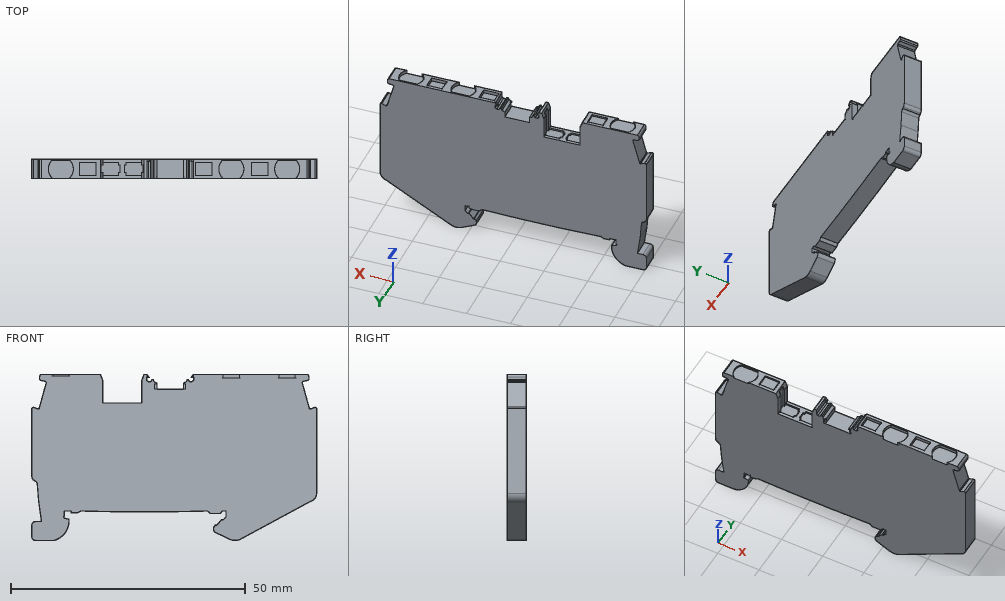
import cadquery as cq


length = 60.7
thickness = 4.15
height = 35.4
underside_z = 6.25

half_length = length / 2
front_y = -thickness / 2
back_y = thickness / 2
clearance = 1.0

lip_x = 28.7
lip_round = 0.6
lip_round_reach = 0.4
lip_round_mid = (28.6, 35.15)
lip_bottom_z = 34.25
lip_underside = ((28.35, 34.05), (27.5, 33.9))
step_neck_x = 27.25
step_neck_z = 33.7
shoulder_z = 28.1
shoulder_root_x = 28.8
shoulder_notch_x = 29.0
shoulder_notch_z = 28.0
shoulder_crown_x = 29.95
shoulder_crown_z = 28.4
shoulder_round_mid = (30.2, 28.3)

well_left_x = -15.2
well_right_x = -6.95
well_floor_z = 29.3
well_flare = 0.5
well_flare_z = 34.1

channel_x = -0.87
channel_floor_z = 32.25
channel_half_width = 2.79
channel_mouth_half_width = 4.98
channel_wall_top_z = 33.5
ridge_top_z = 34.25
groove_bottom_z = 33.85
groove_side_z = 34.1
ridge_foot = 3.43
ridge_inner = 3.6
ridge_outer = 3.9
groove_inner = 4.15
groove_outer = 4.62

undercut_half_width = 3.3
undercut_top_z = 33.35
undercut_depth = 0.4
nib_reach = 0.55
nib_bottom_z = 34.75
nib_width = 0.45

pocket_depth = 0.75
shallow_depth = 0.37
test_holes = ((-18.4, shallow_depth), (6.3, pocket_depth), (18.2, pocket_depth))
test_hole_length = 3.48
test_hole_width = 2.75

wire_entries = ((-24.15, shallow_depth), (12.15, pocket_depth), (24.05, pocket_depth))
wire_entry_radius = 2.67
wire_entry_y = -0.03
wire_entry_flat_y = 1.74

slot_xs = (-13.55, -8.64)
slot_length = 3.3
slot_width = 2.75
key_length = 4.0
key_width = 1.6

side_bottom_z = 13.75
side_round_mid = (-30.2, 13.15)
side_round_end = (-29.95, 12.85)
ledge_x = -29.7
ledge_z = 12.65
stem_round_mid = (-29.35, 12.45)
stem_top_x = -29.2
stem_top_z = 12.1
stem_bend_x = -28.9
stem_bend_z = 8.35
stem_root_x = -28.3
foot_top_z = 4.05
foot_corner_radius = 0.8
sole_end_x = -25.6
foot_round_mid = (-23.4, 1.4)
foot_toe_x = -22.4
foot_toe_z = 4.55
rail_wall_x = -23.4
rail_notch_z = 4.8
rail_notch_depth = 0.15
rail_notch_height = 0.45

left_pad_start_x = -21.95
left_pad_end_x = -20.6
left_pad_z = 5.9
bow_start_x = -19.9
bow_end_x = 7.1
bow_depth = 0.2
right_pad_start_x = 7.7
right_pad_end_x = 9.8
right_pad_z = 5.7
right_pad_root_x = 10.2

snap_wall_x = 11.0
snap_wall_bottom_z = 5.0
snap_barbs = ((10.3, 4.35), (10.1, 4.5), (9.05, 3.25), (8.87, 3.4))
snap_tip_top = (8.45, 2.95)
snap_tip_mid = (8.37, 2.25)
snap_tip_bottom = (8.75, 1.7)
snap_sole_x = 12.95
snap_sole_half_length = 1.05
snap_sole_rise = 0.2
slope_end = (28.9, 8.25)
corner_round_mid = (29.95, 8.95)
right_side_bottom_z = 10.0


def extrude_profile(profile, y_start=front_y, y_end=back_y):
    """Extrude a closed XZ profile from y_start to y_end."""
    return profile.close().extrude(y_start - y_end).translate((0, y_start, 0))


def start(x, z):
    """Begin a profile in the XZ plane."""
    return cq.Workplane("XZ").moveTo(x, z)


def box_between(x_range, y_range, z_range):
    """Box filling the given (low, high) range along each axis."""
    size = [high - low for low, high in (x_range, y_range, z_range)]
    corner = (x_range[0], y_range[0], z_range[0])
    return cq.Workplane("XY").box(*size, centered=False).translate(corner)


def mirrored_about(shape, x):
    """Mirror image of a shape across the plane at the given x."""
    return shape.mirror("YZ", (x, 0, 0))


def add_left_side_and_foot(profile):
    """Down the left side and stem, around the fixed foot and up to the underside."""
    return (
        profile.lineTo(-half_length, side_bottom_z)
        .threePointArc(side_round_mid, side_round_end)
        .lineTo(ledge_x, ledge_z)
        .threePointArc(stem_round_mid, (stem_top_x, stem_top_z))
        .lineTo(stem_bend_x, stem_bend_z)
        .lineTo(stem_root_x, foot_top_z)
        .lineTo(-half_length + foot_corner_radius, foot_top_z)
        .radiusArc((-half_length, foot_top_z - foot_corner_radius), -foot_corner_radius)
        .lineTo(-half_length, foot_corner_radius)
        .radiusArc((-half_length + foot_corner_radius, 0), -foot_corner_radius)
        .lineTo(sole_end_x, 0)
        .threePointArc(foot_round_mid, (foot_toe_x, foot_toe_z))
        .lineTo(rail_wall_x, rail_notch_z)
        .lineTo(rail_wall_x - rail_notch_depth, rail_notch_z + rail_notch_height / 2)
        .lineTo(rail_wall_x, rail_notch_z + rail_notch_height)
        .lineTo(rail_wall_x, underside_z)
    )


def add_underside(profile):
    """Left pad, bowed middle and right pad, from the fixed foot to the snap foot."""
    bow_middle = ((bow_start_x + bow_end_x) / 2, underside_z - bow_depth)
    return (
        profile.lineTo(left_pad_start_x, underside_z)
        .lineTo(left_pad_start_x, left_pad_z)
        .lineTo(left_pad_end_x, left_pad_z)
        .lineTo(bow_start_x, underside_z)
        .threePointArc(bow_middle, (bow_end_x, underside_z))
        .lineTo(right_pad_start_x, right_pad_z)
        .lineTo(right_pad_end_x, right_pad_z)
        .lineTo(right_pad_root_x, underside_z)
        .lineTo(snap_wall_x, underside_z)
    )


def add_snap_foot_and_right_side(profile):
    """Around the snap foot, up the long slope and the right side."""
    profile = profile.lineTo(snap_wall_x, snap_wall_bottom_z)
    for x, z in snap_barbs:
        profile = profile.lineTo(x, z)
    return (
        profile.lineTo(*snap_tip_top)
        .threePointArc(snap_tip_mid, snap_tip_bottom)
        .lineTo(snap_sole_x - snap_sole_half_length, snap_sole_rise)
        .threePointArc((snap_sole_x, 0), (snap_sole_x + snap_sole_half_length, snap_sole_rise))
        .lineTo(*slope_end)
        .threePointArc(corner_round_mid, (half_length, right_side_bottom_z))
        .lineTo(half_length, height)
    )


def make_blank():
    """Outer outline with both feet and the underside, before the top is cut."""
    profile = start(-half_length, height)
    profile = add_left_side_and_foot(profile)
    profile = add_underside(profile)
    profile = add_snap_foot_and_right_side(profile)
    return extrude_profile(profile)


def make_side_step():
    """Cutter for the right side: leaves the top lip and the shoulder below it."""
    outside_x = half_length + clearance
    round_start_x = lip_x - lip_round_reach
    profile = (
        start(round_start_x, height + clearance)
        .lineTo(round_start_x, height)
        .threePointArc(lip_round_mid, (lip_x, height - lip_round))
        .lineTo(lip_x, lip_bottom_z)
    )
    for x, z in lip_underside:
        profile = profile.lineTo(x, z)
    profile = (
        profile.lineTo(step_neck_x, step_neck_z)
        .lineTo(shoulder_root_x, shoulder_z)
        .lineTo(shoulder_notch_x, shoulder_notch_z)
        .lineTo(shoulder_crown_x, shoulder_crown_z)
        .threePointArc(shoulder_round_mid, (half_length, shoulder_z))
        .lineTo(outside_x, shoulder_z)
        .lineTo(outside_x, height + clearance)
    )
    return extrude_profile(profile)


def make_well():
    """Cutter for the clamp well, flared at the mouth."""
    profile = (
        start(well_left_x, well_floor_z)
        .lineTo(well_right_x, well_floor_z)
        .lineTo(well_right_x, well_flare_z)
        .lineTo(well_right_x + well_flare, height)
        .lineTo(well_left_x - well_flare, height)
        .lineTo(well_left_x, well_flare_z)
    )
    return extrude_profile(profile)


def make_channel_half():
    """Cutter for the right half of the marker channel, with its ridge and groove."""
    x = channel_x
    profile = (
        start(x, channel_floor_z)
        .lineTo(x + channel_half_width, channel_floor_z)
        .lineTo(x + channel_half_width, channel_wall_top_z)
        .lineTo(x + ridge_foot, groove_bottom_z)
        .lineTo(x + ridge_inner, ridge_top_z)
        .lineTo(x + ridge_outer, ridge_top_z)
        .lineTo(x + groove_inner, groove_bottom_z)
        .lineTo(x + groove_outer, groove_bottom_z)
        .lineTo(x + channel_mouth_half_width, groove_side_z)
        .lineTo(x + channel_mouth_half_width, height)
        .lineTo(x, height)
    )
    return extrude_profile(profile)


def make_nib():
    """Small latch at the back of the right channel mouth."""
    root_x = channel_x + channel_mouth_half_width
    profile = (
        start(root_x, nib_bottom_z)
        .lineTo(root_x - nib_reach, nib_bottom_z)
        .lineTo(root_x, height)
    )
    return extrude_profile(profile, back_y - nib_width, back_y)


def make_undercut():
    """Shallow widening of the channel bottom at the front face."""
    return box_between(
        (channel_x - undercut_half_width, channel_x + undercut_half_width),
        (front_y, front_y + undercut_depth),
        (channel_floor_z, undercut_top_z),
    )


def make_wire_entry(x, depth):
    """Round pocket with a flat towards the back, breaking out of the front face."""
    floor_z = height - depth
    disc = (
        cq.Workplane("XY", origin=(x, wire_entry_y, floor_z))
        .circle(wire_entry_radius)
        .extrude(depth)
    )
    limit = box_between(
        (x - wire_entry_radius, x + wire_entry_radius),
        (front_y - clearance, wire_entry_flat_y),
        (floor_z, height),
    )
    return disc.intersect(limit)


def make_block_pocket(x, pocket_length, width, floor_z):
    """Rectangular cutter from floor_z up to the top of the block."""
    return box_between(
        (x - pocket_length / 2, x + pocket_length / 2),
        (-width / 2, width / 2),
        (floor_z, height),
    )


result = make_blank()

side_step = make_side_step()
result = result.cut(side_step).cut(mirrored_about(side_step, 0))
result = result.cut(make_well())

channel_half = make_channel_half()
result = result.cut(channel_half).cut(mirrored_about(channel_half, channel_x))
nib = make_nib()
result = result.union(nib).union(mirrored_about(nib, channel_x))
result = result.cut(make_undercut())

for entry_x, entry_depth in wire_entries:
    result = result.cut(make_wire_entry(entry_x, entry_depth))

for hole_x, hole_depth in test_holes:
    hole_floor_z = height - hole_depth
    result = result.cut(make_block_pocket(hole_x, test_hole_length, test_hole_width, hole_floor_z))

slot_floor_z = well_floor_z - shallow_depth
for slot_x in slot_xs:
    result = result.cut(make_block_pocket(slot_x, slot_length, slot_width, slot_floor_z))
    result = result.cut(make_block_pocket(slot_x, key_length, key_width, slot_floor_z))